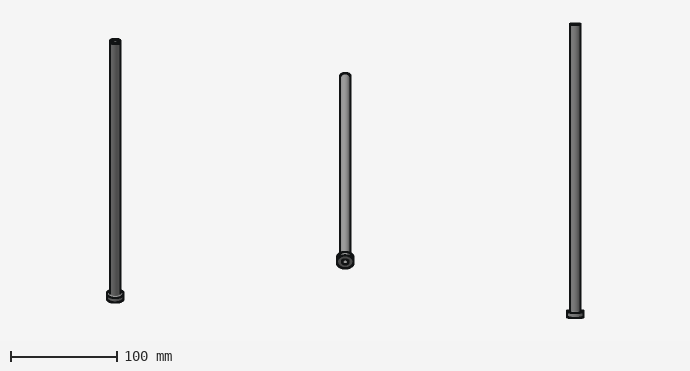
import cadquery as cq

total_length = 280.0
head_diameter = 16.0
head_height = 5.0
shaft_diameter = 10.0
bore_diameter = 6.0
neck_fillet = 0.5

head_radius = head_diameter / 2
shaft_radius = shaft_diameter / 2
bore_radius = bore_diameter / 2

wall_section = (
    cq.Workplane("XZ")
    .moveTo(bore_radius, 0)
    .lineTo(head_radius, 0)
    .lineTo(head_radius, head_height)
    .lineTo(shaft_radius + neck_fillet, head_height)
    .radiusArc((shaft_radius, head_height + neck_fillet), neck_fillet)
    .lineTo(shaft_radius, total_length)
    .lineTo(bore_radius, total_length)
    .close()
)

result = wall_section.revolve(360, (0, 0, 0), (0, 1, 0))